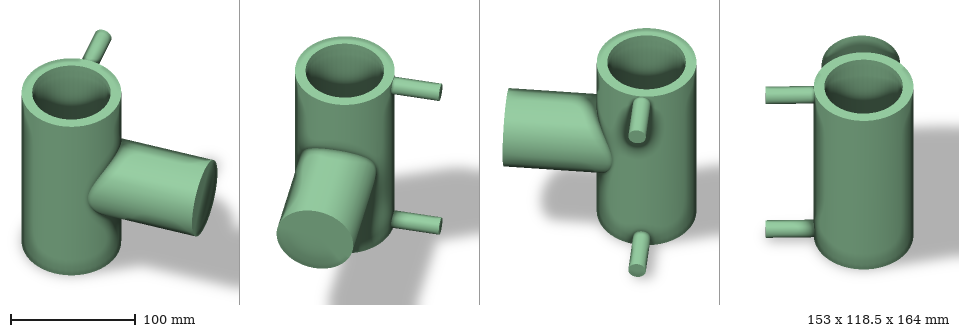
import cadquery as cq

tube_height = 164.0
tube_diameter = 80.0
bore_diameter = 63.0

branch_diameter = bore_diameter
branch_reach = 113.0

pin_diameter = 14.1
pin_reach = 78.5
pin_end_offset = 8.2
pin_height = tube_height / 2 - pin_end_offset


def rod(diameter, length, start, direction):
    """Solid round bar running from a start point along a direction."""
    return cq.Workplane(cq.Solid.makeCylinder(
        diameter / 2, length, cq.Vector(*start), cq.Vector(*direction)))


tube_bottom = (0, 0, -tube_height / 2)
body = rod(tube_diameter, tube_height, tube_bottom, (0, 0, 1))
body = body.union(rod(branch_diameter, branch_reach, (0, 0, 0), (1, 0, 0)))
for height in (-pin_height, pin_height):
    body = body.union(rod(pin_diameter, pin_reach, (0, 0, height), (0, 1, 0)))

result = body.cut(rod(bore_diameter, tube_height, tube_bottom, (0, 0, 1)))